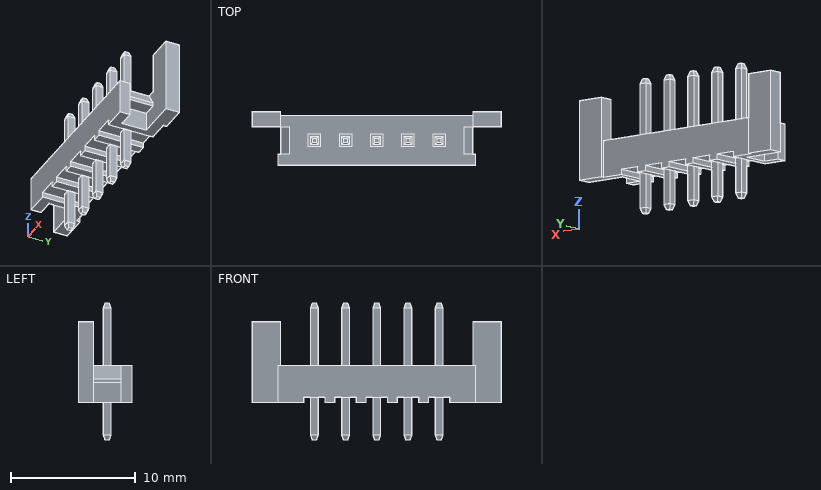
import cadquery as cq

pin_count = 5
pin_pitch = 2.5
pin_width = 0.64
pin_bottom_z = -3.0
pin_top_z = 8.0
tip_width = 0.34
tip_length = 0.42

housing_height = 3.0
housing_width = 15.4
housing_front_y = -2.0
housing_back_y = 2.0

flange_width = 15.86
flange_thickness = 0.9

overall_width = 20.0
ear_height = 6.5
ear_thickness = 1.22
ear_back_y = 2.3

ledge_slope_run = 0.7
ledge_top_z = 1.92
ledge_bottom_z = 1.62
undercut_depth = 1.2

pocket_width = 1.0
pocket_depth = 0.5
groove_width = 1.7
groove_depth = 0.43

flange_back_y = housing_front_y + flange_thickness
ear_front_y = ear_back_y - ear_thickness
housing_half_width = housing_width / 2
pin_positions = [(i - (pin_count - 1) / 2) * pin_pitch for i in range(pin_count)]


def box(x_min, x_max, y_min, y_max, z_min, z_max):
    """Box given by its limits along each axis."""
    return (
        cq.Workplane("XY")
        .box(x_max - x_min, y_max - y_min, z_max - z_min, centered=False)
        .translate((x_min, y_min, z_min))
    )


def latch_section():
    """Housing slice between flange and ears, with a latch ledge on each end."""
    slope_start_x = housing_half_width - ledge_slope_run
    undercut_x = housing_half_width - undercut_depth
    half_outline = [
        (undercut_x, 0),
        (undercut_x, ledge_bottom_z),
        (housing_half_width, ledge_bottom_z),
        (housing_half_width, ledge_top_z),
        (slope_start_x, housing_height),
    ]
    mirrored = [(-x, z) for x, z in reversed(half_outline)]
    return (
        cq.Workplane("XZ", origin=(0, ear_front_y, 0))
        .polyline(half_outline + mirrored)
        .close()
        .extrude(ear_front_y - flange_back_y)
    )


def front_flange():
    half = flange_width / 2
    return box(-half, half, housing_front_y, flange_back_y, 0, housing_height)


def back_wall():
    return box(
        -housing_half_width, housing_half_width, ear_front_y, housing_back_y, 0, housing_height
    )


def ears():
    """Pair of upright ears, one beyond each end of the housing."""
    half = overall_width / 2
    right_ear = box(housing_half_width, half, ear_front_y, ear_back_y, 0, ear_height)
    return right_ear.union(right_ear.mirror("YZ"))


def pin_pocket(x):
    half = pocket_width / 2
    return box(x - half, x + half, -half, half, housing_height - pocket_depth, housing_height)


def bottom_groove(x):
    """Groove under one pin, running through the housing along Y."""
    half = groove_width / 2
    return box(x - half, x + half, housing_front_y, housing_back_y, 0, groove_depth)


def pin_tip(x, base_z, end_z):
    """Tapered square tip from the full pin section to the blunt end."""
    return (
        cq.Workplane("XY", origin=(x, 0, base_z))
        .rect(pin_width, pin_width)
        .workplane(offset=end_z - base_z)
        .rect(tip_width, tip_width)
        .loft(ruled=True)
    )


def pin(x):
    half = pin_width / 2
    shank_bottom_z = pin_bottom_z + tip_length
    shank_top_z = pin_top_z - tip_length
    shank = box(x - half, x + half, -half, half, shank_bottom_z, shank_top_z)
    top_tip = pin_tip(x, shank_top_z, pin_top_z)
    bottom_tip = pin_tip(x, shank_bottom_z, pin_bottom_z)
    return shank.union(top_tip).union(bottom_tip)


result = latch_section().union(front_flange()).union(back_wall()).union(ears())
for pin_x in pin_positions:
    result = result.cut(pin_pocket(pin_x)).cut(bottom_groove(pin_x))
    result = result.union(pin(pin_x))